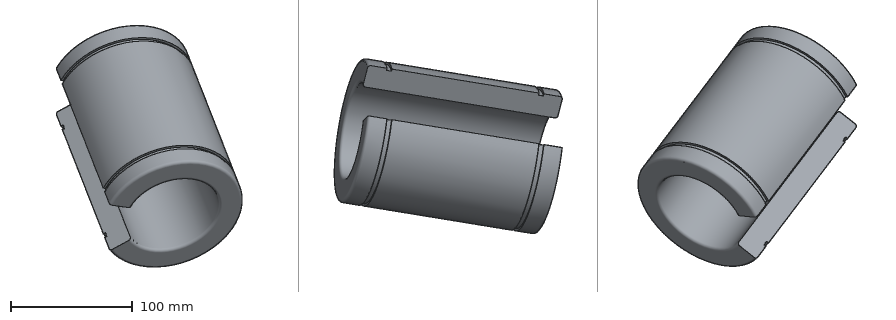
import cadquery as cq
import math

length = 165.0
outer_radius = 59.9
inner_radius = 40.0
edge_radius = 2.5

groove_inset = 16.0
groove_width = 4.1
groove_depth = 2.0

slot_half_angle = 25.0
slot_half_height = 26.7
slot_overrun = 16.5


def make_sleeve():
    sleeve = (
        cq.Workplane("YZ")
        .circle(outer_radius)
        .circle(inner_radius)
        .extrude(length / 2, both=True)
    )
    return sleeve.faces("<X or >X").edges().fillet(edge_radius)


def make_groove(center_x):
    return (
        cq.Workplane("YZ", origin=(center_x - groove_width / 2, 0, 0))
        .circle(outer_radius + groove_depth)
        .circle(outer_radius - groove_depth)
        .extrude(groove_width)
    )


def make_slot():
    slope = math.tan(math.radians(slot_half_angle))
    mouth_y = -math.sqrt(outer_radius**2 - slot_half_height**2)
    apex_y = mouth_y + slot_half_height / slope
    far_y = -outer_radius - slot_overrun
    far_half_height = (apex_y - far_y) * slope
    return (
        cq.Workplane("YZ")
        .polyline([(apex_y, 0), (far_y, far_half_height), (far_y, -far_half_height)])
        .close()
        .extrude(length / 2, both=True)
    )


result = make_sleeve()
groove_x = length / 2 - groove_inset - groove_width / 2
for side in (-1, 1):
    result = result.cut(make_groove(side * groove_x))
result = result.cut(make_slot())